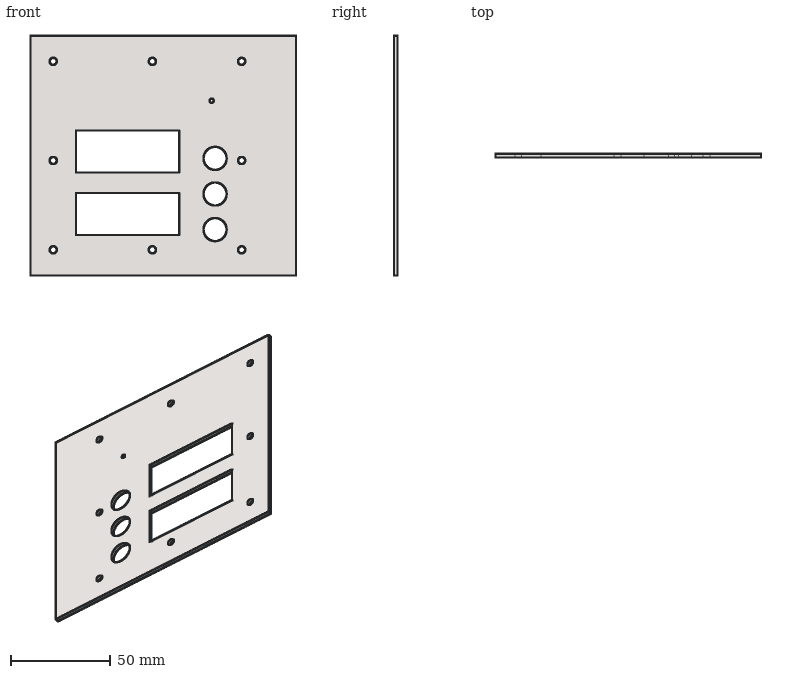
import cadquery as cq

plate_width = 134.0
plate_thickness = 2.0
plate_height = 121.0

screw_diameter = 3.5
screw_columns = (11.5, 61.5, 106.5)
screw_rows = (13.0, 58.0, 108.0)

window_width = 52.0
window_height = 21.0
window_left = 23.0
lower_window_bottom = 20.5
window_pitch = 31.5
window_count = 2

button_diameter = 11.5
button_x = 93.1
lowest_button_z = 23.2
button_pitch = 18.0
button_count = 3

indicator_diameter = 2.0
indicator_x = 91.4
indicator_z = 88.2


def through_holes(centers, diameter):
    """Cylinders along Y that span the plate thickness at each (x, z) center."""
    return (
        cq.Workplane("XZ")
        .pushPoints(centers)
        .circle(diameter / 2)
        .extrude(-plate_thickness)
    )


def window(bottom):
    """Rectangular cutter through the plate thickness."""
    return cq.Workplane("XY").box(
        window_width, plate_thickness, window_height, centered=False
    ).translate((window_left, 0, bottom))


screw_centers = [
    (x, z)
    for x in screw_columns
    for z in screw_rows
    if (x, z) != (screw_columns[1], screw_rows[1])
]
button_centers = [
    (button_x, lowest_button_z + i * button_pitch) for i in range(button_count)
]

result = cq.Workplane("XY").box(
    plate_width, plate_thickness, plate_height, centered=False
)
result = result.cut(through_holes(screw_centers, screw_diameter))
result = result.cut(through_holes(button_centers, button_diameter))
result = result.cut(through_holes([(indicator_x, indicator_z)], indicator_diameter))
for i in range(window_count):
    result = result.cut(window(lower_window_bottom + i * window_pitch))